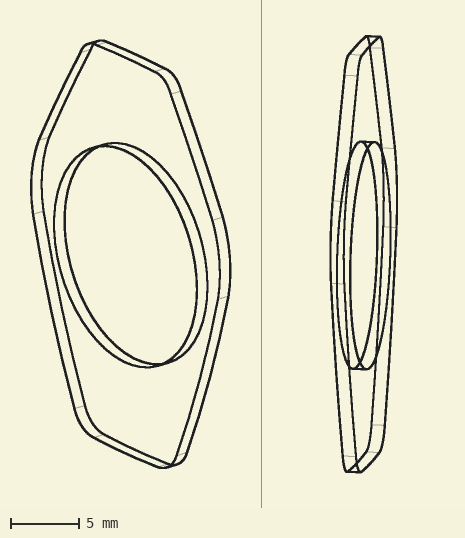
import cadquery as cq

thickness = 1.0
hole_diameter = 16.7
top_z = 15.72
bottom_z = top_z - 31.25
half_width = 11.05

top_edge_end = (3.38, 15.65)
upper_side_start = (5.28, 14.47)
upper_side_end = (10.15, 6.03)
lower_side_start = (10.82, 0.0)
lower_side_end = (5.97, -13.85)
bottom_edge_end = (3.75, -15.45)

top_corner_mid = (4.5, 15.38)
upper_side_mid = (7.8, 10.25)
shoulder_mid = (half_width, 2.35)
lower_side_mid = (8.72, -6.88)
bottom_corner_mid = (5.22, -14.88)
top_mid = (0.0, top_z)
bottom_mid = (0.0, bottom_z)

right_arcs = [
    (top_corner_mid, upper_side_start),
    (upper_side_mid, upper_side_end),
    (shoulder_mid, lower_side_start),
    (lower_side_mid, lower_side_end),
    (bottom_corner_mid, bottom_edge_end),
]


def mirrored(point):
    """Reflect an outline point across the vertical centre line."""
    x, z = point
    return (-x, z)


def plate():
    """Flat plate with a symmetric outline made of arcs."""
    outline = cq.Workplane("XZ", origin=(0, thickness / 2, 0)).moveTo(*top_edge_end)
    for middle, end in right_arcs:
        outline = outline.threePointArc(middle, end)
    outline = outline.threePointArc(bottom_mid, mirrored(bottom_edge_end))

    right_starts = [top_edge_end] + [end for _, end in right_arcs[:-1]]
    for (middle, _), start in zip(reversed(right_arcs), reversed(right_starts)):
        outline = outline.threePointArc(mirrored(middle), mirrored(start))
    outline = outline.threePointArc(top_mid, top_edge_end)
    return outline.close().extrude(thickness)


def hole():
    """Round opening through the full thickness."""
    back_face = cq.Workplane("XZ", origin=(0, thickness / 2, 0))
    return back_face.circle(hole_diameter / 2).extrude(thickness)


result = plate().cut(hole())